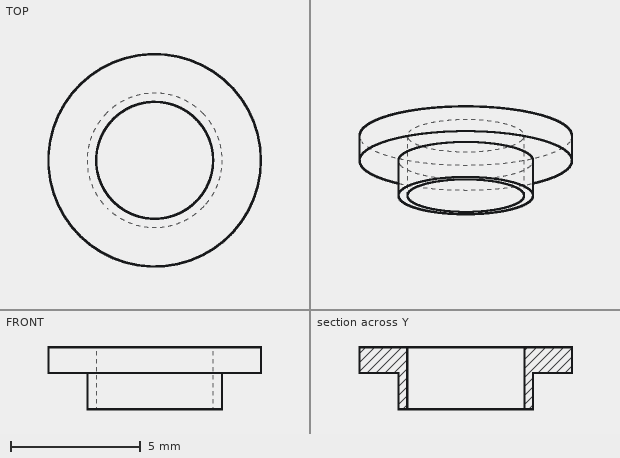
import cadquery as cq

flange_diameter = 8.2
sleeve_diameter = 5.2
bore_diameter = 4.5
total_height = 2.4
flange_thickness = 1.0
sleeve_length = total_height - flange_thickness

sleeve = cq.Workplane("XY").circle(sleeve_diameter / 2).extrude(sleeve_length)

flange = (
    cq.Workplane("XY")
    .workplane(offset=sleeve_length)
    .circle(flange_diameter / 2)
    .extrude(flange_thickness)
)

bore = cq.Workplane("XY").circle(bore_diameter / 2).extrude(total_height)

result = sleeve.union(flange).cut(bore)